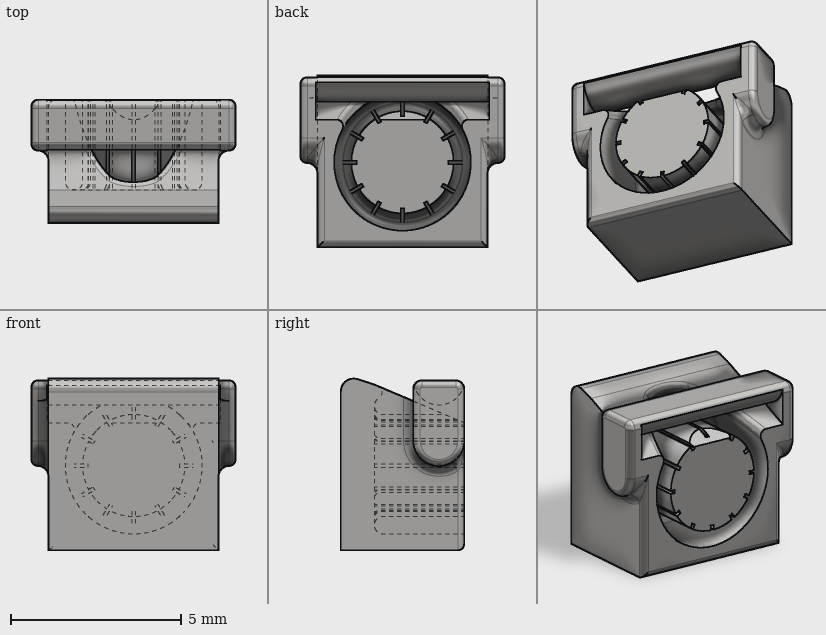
import cadquery as cq
import math

block_width = 5.005
block_depth = 3.63
block_height = 5.05
back_edge_radius = 0.2

lip_radius = 0.385
upper_slope = math.radians(18)
lower_slope = math.radians(23)
slope_break_y = 0.99

bar_length = 6
bar_depth = 1.5
bar_top = 5.0
bar_end_radius = 0.2
bar_top_radius = 0.25
leg_bottom = 2.48
leg_blend_radius = 0.295
rail_bottom = 4.28
rail_length = 5.1

channel_radius = 2.01
core_radius = 1.5
channel_floor_y = 0.985
channel_floor_radius = 0.245
rim_radius = 0.2
groove_count = 12
groove_width = 0.1
groove_depth = 0.15

bar_front_y = block_depth - bar_depth
bar_center_y = block_depth - bar_depth / 2
bar_round_radius = bar_depth / 2
leg_round_z = leg_bottom + bar_round_radius
rail_round_z = rail_bottom + bar_round_radius
channel_center_z = block_width / 2

lip_center_z = block_height - lip_radius
lip_mid_angle = (math.pi / 2 + upper_slope) / 2
lip_end_y = lip_radius * (1 + math.sin(upper_slope))
lip_end_z = lip_center_z + lip_radius * math.cos(upper_slope)
slope_break_z = lip_end_z - (slope_break_y - lip_end_y) * math.tan(upper_slope)
slope_back_z = slope_break_z - (block_depth - slope_break_y) * math.tan(lower_slope)

rough_height = block_height + 0.3
tolerance = 0.0005


def make_bar():
    """Full-section bar with a round bottom and rounded top and end edges."""
    bar = (
        cq.Workplane("YZ")
        .moveTo(bar_front_y, bar_top)
        .lineTo(bar_front_y, leg_round_z)
        .threePointArc((bar_center_y, leg_bottom), (block_depth, leg_round_z))
        .lineTo(block_depth, bar_top)
        .close()
        .extrude(bar_length / 2, both=True)
    )
    bar = bar.faces(">Z").edges("|X").fillet(bar_top_radius)
    return bar.faces("<X or >X").edges().fillet(bar_end_radius)


def blend_edges(solid):
    """Edges where the front and underside of the legs meet the sides of the block."""
    found = []
    for edge in solid.edges().vals():
        box = edge.BoundingBox()
        lies_on_side = abs(abs(edge.Center().x) - block_width / 2) < tolerance and box.xlen < tolerance
        starts_at_leg_front = abs(box.ymin - bar_front_y) < tolerance
        lies_below_top_round = box.zmax < bar_top - bar_top_radius + tolerance
        if lies_on_side and starts_at_leg_front and lies_below_top_round:
            found.append(edge)
    return found


def make_top_trim():
    """Everything above the lip and the two slopes."""
    lip_mid_y = lip_radius * (1 - math.cos(lip_mid_angle))
    lip_mid_z = lip_center_z + lip_radius * math.sin(lip_mid_angle)
    return (
        cq.Workplane("YZ")
        .moveTo(0, lip_center_z)
        .threePointArc((lip_mid_y, lip_mid_z), (lip_end_y, lip_end_z))
        .lineTo(slope_break_y, slope_break_z)
        .lineTo(block_depth, slope_back_z)
        .lineTo(block_depth, rough_height)
        .lineTo(0, rough_height)
        .close()
        .extrude(bar_length / 2, both=True)
    )


def make_block(bar):
    """Sloped block, blended into the part of the legs that lies below the slopes."""
    rough = cq.Workplane("XY").box(block_width, block_depth, rough_height, centered=(True, False, False))
    rough = rough.faces(">Y").edges("not >Z").fillet(back_edge_radius)
    joined = rough.union(bar)
    blended = joined.newObject(blend_edges(joined)).fillet(leg_blend_radius)
    return blended.cut(make_top_trim())


def rim_edges(solid):
    """Edges where the outer wall of the channel breaks out through the lower slope."""
    found = []
    for edge in solid.edges().vals():
        box = edge.BoundingBox()
        lies_over_channel = abs(edge.Center().x) < channel_radius
        lies_above_slope_end = box.zmin > slope_back_z - tolerance
        lies_on_lower_slope = slope_break_y + tolerance < box.ymin < bar_front_y
        if lies_over_channel and lies_above_slope_end and lies_on_lower_slope:
            found.append(edge)
    return found


def cut_channel(block):
    """Sink the ring-shaped channel and round its floor and its rim in the slope."""
    ring = (
        cq.Workplane("XZ", origin=(0, block_depth, channel_center_z))
        .circle(channel_radius)
        .circle(core_radius)
        .extrude(block_depth - channel_floor_y)
    )
    ring = ring.faces("<Y").edges().fillet(channel_floor_radius)
    block = block.cut(ring)
    return block.newObject(rim_edges(block)).fillet(rim_radius)


def make_grooves():
    """Ribs that cut the lengthwise grooves into the core."""
    rib_height = groove_depth + channel_floor_radius
    return (
        cq.Workplane("XZ", origin=(0, block_depth, channel_center_z))
        .polarArray(core_radius - groove_depth + rib_height / 2, 0, 360, groove_count)
        .rect(rib_height, groove_width)
        .extrude(block_depth - channel_floor_y)
    )


def make_end_bar(bar):
    """Legs and rail only: the middle of the bar is cut back to the round rail."""
    middle = cq.Workplane("XY").box(rail_length, bar_depth, rough_height, centered=(True, False, False))
    middle = middle.translate((0, bar_front_y, 0))
    rail = (
        cq.Workplane("YZ")
        .center(bar_center_y, rail_round_z)
        .circle(bar_round_radius)
        .extrude(rail_length / 2, both=True)
    )
    return bar.cut(middle.cut(rail))


bar = make_bar()
block = cut_channel(make_block(bar)).cut(make_grooves())
result = block.union(make_end_bar(bar))